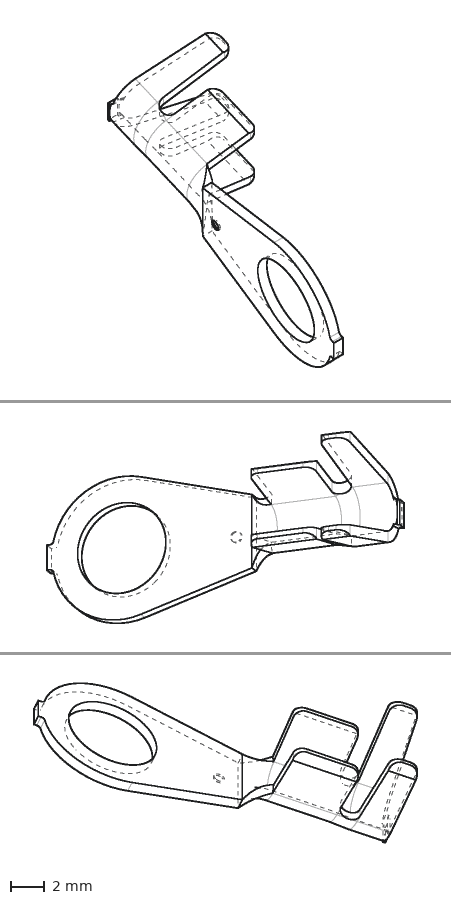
import cadquery as cq
import math

sheet = 0.68
length = 22.67

ring_diameter = 9.0
ring_radius = ring_diameter / 2
ring_x = 17.86
hole_diameter = 5.67
neck_x = 9.5
neck_half_width = 2.31
dimple_x = 10.77
dimple_diameter = 0.68
dimple_depth = 0.11

tab_half_width = 0.8
tab_flare = 0.15
tab_straight = 0.15

insulation_radius = 2.25
insulation_lean = 12.6
insulation_height = 7.37
insulation_tip_width = 0.3
insulation_round = 0.65
insulation_start = 0.27
insulation_end = 2.56
flare_overlap = 0.05

edge_bend_x = 0.36
edge_corner_x = 0.85

wire_radius = 1.88
wire_lean = 11.2
wire_height = 5.33
wire_tip_width = 0.32
wire_round = 0.61
wire_start = 3.76
wire_end = 7.9

tip_length = 0.73

middle_radius = 2.7
middle_angle = 45.0

notch_radius = (wire_start - insulation_end) / 2
notch_floor = 1.6
notch_arm_length = 0.9


def arc_point(radius, bend_radius, angle):
    """(Y, Z) on an arc about the bend centre, angle in degrees from the base of the U."""
    turn = math.radians(angle)
    return bend_radius - radius * math.cos(turn), radius * math.sin(turn)


def mirrored(point):
    return point[0], -point[1]


def u_outline(x, radius, angle, arm_points):
    """Closed U section at x; arm_points run from the outer bend end to the inner bend end at +Z."""
    inner_radius = radius - sheet
    outer_end = arc_point(radius, radius, angle)
    inner_end = arc_point(inner_radius, radius, angle)
    outline = cq.Workplane("YZ", origin=(x, 0, 0)).moveTo(*mirrored(outer_end))
    outline = outline.threePointArc((0, 0), outer_end)
    for point in arm_points + [inner_end]:
        outline = outline.lineTo(*point)
    outline = outline.threePointArc((sheet, 0), mirrored(inner_end))
    for point in reversed(arm_points):
        outline = outline.lineTo(*mirrored(point))
    return outline.close()


def crimp(start, end, radius, lean, height, tip_width):
    """U barrel with two straight arms, each thinned on its outer face at the tip."""
    angle = 90 - lean
    slope = math.tan(math.radians(lean))
    outer_y, outer_z = arc_point(radius, radius, angle)
    inner_y, inner_z = arc_point(radius - sheet, radius, angle)
    corner_y = height - tip_length
    tip_z = inner_z + (height - inner_y) * slope
    arm_points = [
        (corner_y, outer_z + (corner_y - outer_y) * slope),
        (height, tip_z + tip_width),
        (height, tip_z),
    ]
    return u_outline(start, radius, angle, arm_points).extrude(end - start)


def short_arm_outline(x, radius, lean):
    """U section at x with plain arms just long enough to hold the notch."""
    angle = 90 - lean
    run_y = notch_arm_length * math.cos(math.radians(lean))
    run_z = notch_arm_length * math.sin(math.radians(lean))
    outer_y, outer_z = arc_point(radius, radius, angle)
    inner_y, inner_z = arc_point(radius - sheet, radius, angle)
    arm_points = [(outer_y + run_y, outer_z + run_z), (inner_y + run_y, inner_z + run_z)]
    return u_outline(x, radius, angle, arm_points)


def loft(outlines, ruled):
    wires = [outline.wire().val() for outline in outlines]
    return cq.Workplane(cq.Solid.makeLoft(wires, ruled))


def flat_blank(outline):
    """Outline drawn on X-Z, given the sheet thickness towards +Y."""
    return outline.extrude(-sheet)


def along_z(outline):
    """Side outline in X-Y carried through the full width of the part."""
    return outline.extrude(ring_radius, both=True)


def flared_outline(tip_x, flare_x, root_x):
    """Outline on X-Z of a tab with a small concave flare where it leaves the edge behind it."""
    wide = tab_half_width + tab_flare
    sweep = math.sqrt(0.5)
    near_x = flare_x + sweep * (root_x - flare_x)
    near_z = tab_half_width + (1 - sweep) * tab_flare
    return (
        cq.Workplane("XZ")
        .moveTo(tip_x, -tab_half_width)
        .lineTo(tip_x, tab_half_width)
        .lineTo(flare_x, tab_half_width)
        .threePointArc((near_x, near_z), (root_x, wide))
        .lineTo(root_x, -wide)
        .threePointArc((near_x, -near_z), (flare_x, -tab_half_width))
        .close()
    )


def insulation_crimp():
    """Crimp with slanted free edges, and the end tab flaring out of its base."""
    barrel = crimp(
        tab_straight, insulation_end,
        insulation_radius, insulation_lean, insulation_height, insulation_tip_width,
    )
    bend_y = arc_point(insulation_radius, insulation_radius, 90 - insulation_lean)[0]
    side = along_z(
        cq.Workplane("XY")
        .moveTo(insulation_start, 0)
        .lineTo(edge_bend_x, bend_y)
        .lineTo(edge_corner_x, insulation_height)
        .lineTo(insulation_end, insulation_height)
        .lineTo(insulation_end, 0)
        .close()
    )
    arms = barrel.intersect(side.edges("|Z and >Y").fillet(insulation_round))
    flare_outline = flared_outline(0, tab_straight, insulation_start + flare_overlap)
    flare = barrel.intersect(flare_outline.extrude(-insulation_radius))
    tab_outline = cq.Workplane("XZ").center(tab_straight / 2, 0).rect(tab_straight, 2 * tab_half_width)
    flat_tab = flat_blank(tab_outline)
    return arms.union(flare).union(flat_tab)


def wire_crimp():
    barrel = crimp(wire_start, wire_end, wire_radius, wire_lean, wire_height, wire_tip_width)
    side = along_z(
        cq.Workplane("XY")
        .moveTo(wire_start, 0)
        .lineTo(wire_start, wire_height)
        .lineTo(wire_end, wire_height)
        .lineTo(wire_end, 0)
        .close()
    )
    return barrel.intersect(side.edges("|Z and >Y").fillet(wire_round))


def notched_bridge():
    """Barrel joining the two crimps, with a round-bottomed notch between their arms."""
    ends = [
        short_arm_outline(insulation_end, insulation_radius, insulation_lean),
        short_arm_outline(wire_start, wire_radius, wire_lean),
    ]
    bridge = loft(ends, ruled=True)
    notch_y = notch_floor + notch_radius
    notch = along_z(
        cq.Workplane("XY")
        .moveTo(insulation_end, insulation_height)
        .lineTo(insulation_end, notch_y)
        .threePointArc((insulation_end + notch_radius, notch_floor), (wire_start, notch_y))
        .lineTo(wire_start, insulation_height)
        .close()
    )
    return bridge.cut(notch)


def neck():
    """The U of the wire crimp opening out into the flat tongue."""
    middle_x = (wire_end + neck_x) / 2
    flat = cq.Workplane("YZ", origin=(neck_x, 0, 0)).polyline([
        (0, -neck_half_width),
        (0, neck_half_width),
        (sheet, neck_half_width),
        (sheet, -neck_half_width),
    ]).close()
    stations = [
        u_outline(wire_end, wire_radius, 90 - wire_lean, []),
        u_outline(middle_x, middle_radius, middle_angle, []),
        flat,
    ]
    return loft(stations, ruled=False)


def tongue():
    """Ring with straight sides running tangent from the neck to its rim."""
    reach = ring_x - neck_x
    to_corner = math.atan2(neck_half_width, -reach)
    tangent = to_corner - math.acos(ring_radius / math.hypot(reach, neck_half_width))
    tangent_x = ring_x + ring_radius * math.cos(tangent)
    tangent_z = ring_radius * math.sin(tangent)
    blank = flat_blank(
        cq.Workplane("XZ")
        .moveTo(neck_x, -neck_half_width)
        .lineTo(neck_x, neck_half_width)
        .lineTo(tangent_x, tangent_z)
        .threePointArc((ring_x + ring_radius, 0), (tangent_x, -tangent_z))
        .close()
    )
    rim_x = ring_x + math.sqrt(ring_radius**2 - (tab_half_width + tab_flare) ** 2)
    blank = blank.union(flat_blank(flared_outline(length, length - tab_straight, rim_x)))
    hole = flat_blank(cq.Workplane("XZ").center(ring_x, 0).circle(hole_diameter / 2))
    dimple = cq.Workplane("XZ").center(dimple_x, 0).circle(dimple_diameter / 2).extrude(-dimple_depth)
    return blank.cut(hole).cut(dimple)


result = (
    insulation_crimp()
    .union(notched_bridge())
    .union(wire_crimp())
    .union(neck())
    .union(tongue())
)